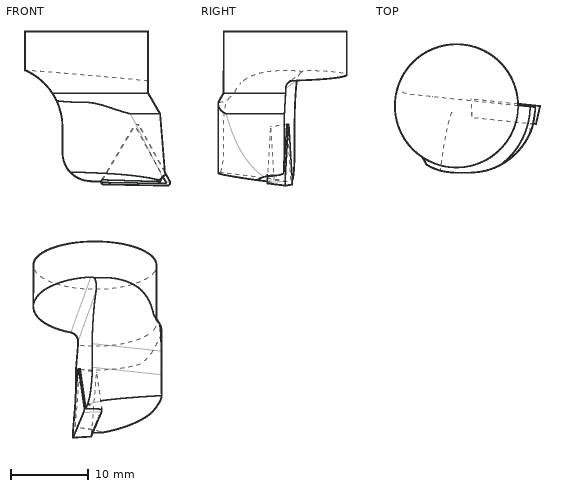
import cadquery as cq
import math

SHANK_R = 8.0
SHANK_LENGTH = 8.0
FLARE_BOTTOM = -10.7
FLARE_R = 9.55
HEAD_BOTTOM = -20.4
FLANK_TAPER = 4.7
FLANK_R = FLARE_R + (FLARE_BOTTOM - HEAD_BOTTOM) * math.tan(math.radians(FLANK_TAPER))

FRONT_Y = -8.7
NOSE_SIDE_R = 8.7
NOSE_SIDE_X = 1.6
NOSE_SIDE_ANGLES = (-75, -60, -45, -30, -15, 0)
HEEL_R = 7.65
HEEL_ANGLES = (-150, -135, -120, -105)

GULLET_R = 8.0
HEAD_LEFT = -3.12
GULLET_Z = -12.4
CORNER_R = 3.7
END_Z = -19.42

FACE_ANGLE = -6.0
FACE_Y = 0.9
LEDGE_Z = -5.7
LEDGE_TILT = 5.0
LEDGE_FILLET = 1.0

END_FACE_Z = -19.45
END_TILT_ALONG = 1.7
END_TILT_RELIEF = 7.0

CHAMFER_TOP = (10.32, -18.6)
CHAMFER_BOTTOM = (9.8, -19.5)

INSERT_EDGE = 9.62
INSERT_THICKNESS = 2.38
INSERT_RELIEF = 7.0
INSERT_NOSE_R = 0.4
INSERT_PROUD = 0.22
INSERT_TURN = 1.0
INSERT_TIP_X = 11.18
INSERT_TIP_Z = -20.02

REACH = 40.0


def to_face(shape):
    """Carry a shape from an upright XZ face at Y = 0 onto the rake face."""
    return shape.rotate((0, 0, 0), (0, 0, 1), FACE_ANGLE).translate((0, FACE_Y, 0))


def make_flared_blank():
    profile = [
        (0, 0), (SHANK_R, 0), (SHANK_R, -SHANK_LENGTH),
        (FLARE_R, FLARE_BOTTOM), (FLANK_R, HEAD_BOTTOM), (0, HEAD_BOTTOM),
    ]
    return cq.Workplane("XZ").polyline(profile).close().revolve(360, (0, 0), (0, 1))


def arc_point(center_x, radius, angle):
    """Point at an angle on a plan arc that touches the line Y = FRONT_Y."""
    turn = math.radians(angle)
    return (center_x + radius * math.cos(turn), FRONT_Y + radius + radius * math.sin(turn))


def make_plan_limit():
    """Shank cylinder plus the upright prism that bounds the head."""
    heel = [arc_point(0, HEEL_R, angle) for angle in HEEL_ANGLES]
    nose_side = [arc_point(NOSE_SIDE_X, NOSE_SIDE_R, angle) for angle in NOSE_SIDE_ANGLES]
    front_middle = (NOSE_SIDE_X / 2, FRONT_Y)
    left_x, left_y = heel[0]
    right_x = nose_side[-1][0]
    prism = (
        cq.Workplane("XY")
        .moveTo(left_x, left_y)
        .spline(heel[1:] + [front_middle] + nose_side, includeCurrent=True)
        .lineTo(right_x, SHANK_R)
        .lineTo(left_x, SHANK_R)
        .close()
        .extrude(HEAD_BOTTOM)
    )
    shank = cq.Workplane("XY").circle(SHANK_R).extrude(-SHANK_LENGTH)
    return prism.union(shank)


def make_gullet():
    """Everything left of the concave wall and the rounded lower corner."""
    half = math.sqrt(0.5)
    axis_x = HEAD_LEFT - GULLET_R
    corner_x = HEAD_LEFT + CORNER_R
    corner_z = END_Z + CORNER_R
    return (
        cq.Workplane("XZ", origin=(0, REACH / 2, 0))
        .moveTo(axis_x, GULLET_Z + GULLET_R)
        .threePointArc((axis_x + GULLET_R * half, GULLET_Z + GULLET_R * half), (HEAD_LEFT, GULLET_Z))
        .lineTo(HEAD_LEFT, corner_z)
        .threePointArc((corner_x - CORNER_R * half, corner_z - CORNER_R * half), (corner_x, END_Z))
        .lineTo(corner_x, -REACH)
        .lineTo(axis_x, -REACH)
        .close()
        .extrude(REACH)
    )


def make_rake_clearance():
    """Block behind the rake face, with a rounded edge under the shank."""
    block = (
        cq.Workplane("XY")
        .box(REACH, REACH, REACH, centered=(True, False, False))
        .translate((0, 0, -REACH))
        .edges("<Y and >Z")
        .fillet(LEDGE_FILLET)
        .rotate((0, 0, 0), (0, 1, 0), LEDGE_TILT)
        .translate((0, 0, LEDGE_Z))
    )
    return to_face(block)


def make_end_clearance():
    """Block below the head's sloping end face."""
    block = (
        cq.Workplane("XY")
        .box(REACH, REACH, REACH, centered=(True, True, False))
        .translate((0, 0, -REACH))
        .rotate((0, 0, 0), (1, 0, 0), -END_TILT_RELIEF)
        .rotate((0, 0, 0), (0, 1, 0), END_TILT_ALONG)
        .translate((0, 0, END_FACE_Z))
    )
    return to_face(block)


def make_corner_chamfer():
    outer_corner = (REACH, -REACH)
    top_x, top_z = CHAMFER_TOP
    bottom_x, bottom_z = CHAMFER_BOTTOM
    run = top_x - bottom_x
    rise = top_z - bottom_z
    wedge = (
        cq.Workplane("XZ", origin=(0, REACH / 2, 0))
        .polyline([
            (bottom_x - run, bottom_z - rise), (top_x + run, top_z + rise), outer_corner,
        ])
        .close()
        .extrude(REACH)
    )
    return to_face(wedge)


def make_insert():
    """Triangle with rounded noses, its sharp corner at the origin, narrowing away from the rake face."""
    inset = INSERT_NOSE_R * math.sqrt(3)
    nose_spacing = INSERT_EDGE - 2 * inset
    nose_centers = [
        (-inset, INSERT_NOSE_R),
        (-inset - nose_spacing, INSERT_NOSE_R),
        (-INSERT_EDGE / 2, INSERT_NOSE_R + nose_spacing * math.sqrt(3) / 2),
    ]
    rounded = (
        cq.Workplane("XZ")
        .polyline(nose_centers)
        .close()
        .offset2D(INSERT_NOSE_R)
        .extrude(INSERT_THICKNESS, taper=INSERT_RELIEF)
    )
    placed = rounded.rotate((0, 0, 0), (0, 1, 0), INSERT_TURN)
    return to_face(placed.translate((INSERT_TIP_X, INSERT_PROUD, INSERT_TIP_Z)))


def make_holder(insert):
    holder = make_flared_blank().intersect(make_plan_limit())
    holder = holder.cut(make_gullet())
    holder = holder.cut(make_rake_clearance())
    holder = holder.cut(make_end_clearance())
    holder = holder.cut(make_corner_chamfer())
    return holder.cut(insert)


insert = make_insert()
holder = make_holder(insert)
result = cq.Compound.makeCompound([holder.val(), insert.val()])